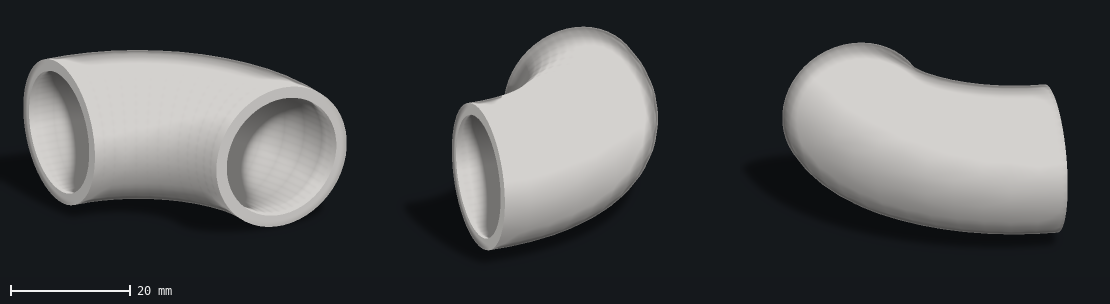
import cadquery as cq

overall_reach = 40.0
outer_diameter = 25.0
wall = 2.0
bend_angle = 90.0

outer_radius = outer_diameter / 2
inner_radius = outer_radius - wall
bend_radius = overall_reach - outer_radius

pipe_section = (
    cq.Workplane("XZ")
    .center(-bend_radius, 0)
    .circle(outer_radius)
    .circle(inner_radius)
)

axis_start = (bend_radius, 0)
axis_end = (bend_radius, -1)
result = pipe_section.revolve(bend_angle, axis_start, axis_end)